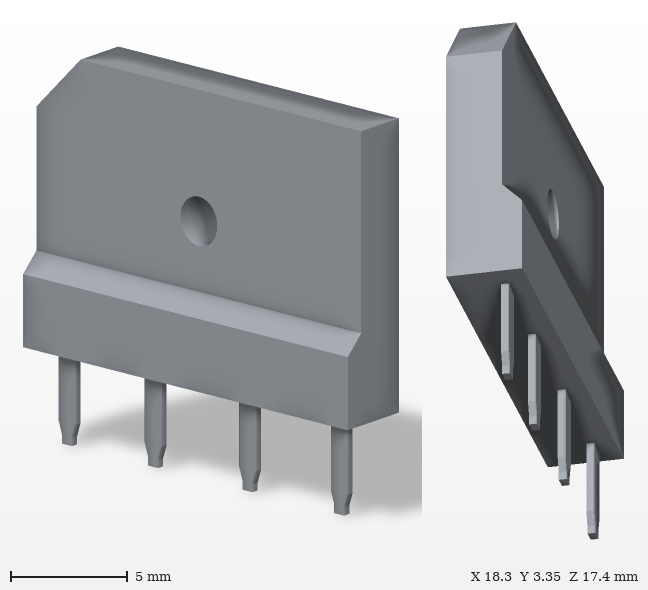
import cadquery as cq

body_width = 18.32
body_height = 13.19
body_thickness = 2.47
corner_cut_x = 2.5
corner_cut_z = 2.6

foot_thickness = 3.35
foot_height = 3.28
foot_slope_top = 4.14

hole_width = 2.07
hole_height = 2.22
hole_z = 7.3

lead_length = 4.23
lead_width = 0.97
lead_thickness = 0.35
lead_positions = (-7.45, -2.6, 2.73, 7.9)
tip_width = 0.59
tip_length = 0.37
taper_length = 0.62
lead_edge_chamfer = 0.04

body_front_y = -body_thickness


def make_body():
    """Extrude the stepped side profile across the width and cut one top corner."""
    body = (
        cq.Workplane("YZ")
        .polyline([
            (0, 0),
            (-foot_thickness, 0),
            (-foot_thickness, foot_height),
            (body_front_y, foot_slope_top),
            (body_front_y, body_height),
            (0, body_height),
        ])
        .close()
        .extrude(body_width / 2, both=True)
    )
    left = -body_width / 2
    corner = (
        cq.Workplane("XZ")
        .polyline([
            (left, body_height),
            (left + corner_cut_x, body_height),
            (left, body_height - corner_cut_z),
        ])
        .close()
        .extrude(body_thickness)
    )
    return body.cut(corner)


def make_hole():
    """Oval cutter running through the full body thickness."""
    return (
        cq.Workplane("XZ")
        .center(0, hole_z)
        .ellipse(hole_width / 2, hole_height / 2)
        .extrude(body_thickness)
    )


def make_lead(center_x):
    """Flat lead with a tapered, narrower tip, chamfered along its front side edges."""
    half_width = lead_width / 2
    half_tip = tip_width / 2
    tip_top = -lead_length + tip_length
    taper_top = tip_top + taper_length
    lead = (
        cq.Workplane("XZ", origin=(center_x, body_front_y + lead_thickness, 0))
        .polyline([
            (-half_width, 0),
            (-half_width, taper_top),
            (-half_tip, tip_top),
            (-half_tip, -lead_length),
            (half_tip, -lead_length),
            (half_tip, tip_top),
            (half_width, taper_top),
            (half_width, 0),
        ])
        .close()
        .extrude(lead_thickness)
    )
    side_edges = lead.faces("<Y").edges("not |X")
    return side_edges.chamfer(lead_edge_chamfer)


result = make_body().cut(make_hole())
for lead_x in lead_positions:
    result = result.union(make_lead(lead_x))